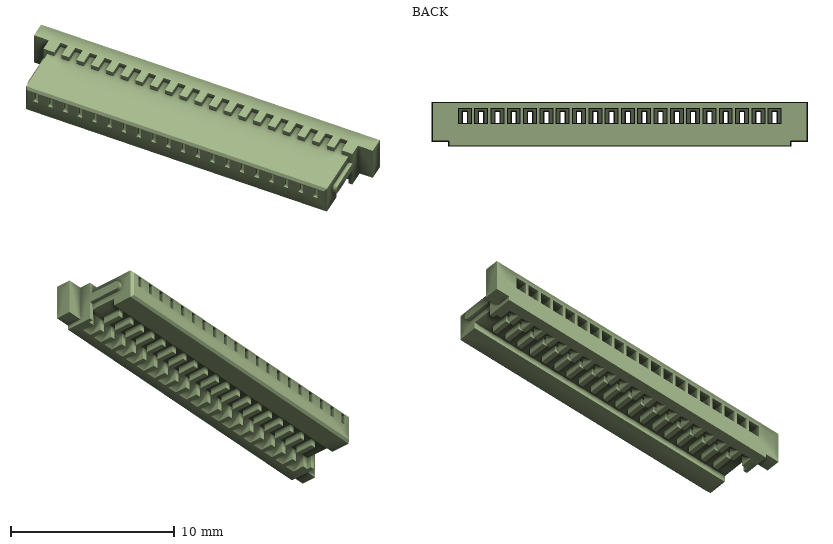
import cadquery as cq

LENGTH = 23.0
DEPTH = 5.0
HEIGHT = 2.7
CONTACTS = 20
PITCH = LENGTH / (CONTACTS + 3)

FLANGE_DEPTH = 1.8
EAR_LENGTH = 1.01
EAR_DEPTH = 1.01
EAR_BOTTOM_GAP = 0.3

BODY_SIDE_INSET = 1.29
BODY_TOP_DROP = 0.35
BODY_BOTTOM_RISE = 0.35
NOSE_BEVEL = 0.15

NOTCH_WIDTH = 0.5
NOTCH_DEPTH = 0.9

RAIL_HEIGHT = 0.6
RAIL_TOP_DROP = 0.85
RAIL_TIP = 4.15

GROOVE_HEIGHT = 0.48
GROOVE_END = 3.52
RIB_END = 3.01
RIB_WIDTH = 0.32

STEP_DEPTH = 0.3

WALL_BETWEEN = 0.2
ROOF = 0.05
SLOT_TOP_DROP = 0.2
FRONT_WALL = 0.35
SLOT_WIDTH = 0.3
SLOT_HEIGHT = 0.74

FLANGE_FRONT = DEPTH - FLANGE_DEPTH
MIDDLE_LENGTH = LENGTH - 2 * EAR_LENGTH
BODY_LENGTH = LENGTH - 2 * BODY_SIDE_INSET
BODY_TOP = HEIGHT - BODY_TOP_DROP
GROOVE_TOP = BODY_BOTTOM_RISE + GROOVE_HEIGHT
CAVITY_TOP = BODY_TOP - ROOF
CAVITY_WIDTH = PITCH - WALL_BETWEEN
SLOT_TOP = BODY_TOP - SLOT_TOP_DROP
RAMP_WIDTH = PITCH - RIB_WIDTH
CAVITY_FLOOR = SLOT_TOP - SLOT_HEIGHT
CONTACT_X = [(i - (CONTACTS - 1) / 2) * PITCH for i in range(CONTACTS)]
RIB_X = [x + PITCH / 2 for x in CONTACT_X[:-1]]


def block(width, y_front, y_rear, z_low, z_high):
    """Box centred in X, given by its front and rear Y and its low and high Z."""
    box = cq.Workplane("XY").box(width, y_rear - y_front, z_high - z_low, centered=(True, False, False))
    return box.translate((0, y_front, z_low))


def repeat(feature, positions):
    """Copies of a feature at the given X positions."""
    copies = [feature.val().translate(cq.Vector(x, 0, 0)) for x in positions]
    return cq.Workplane("XY").newObject([cq.Compound.makeCompound(copies)])


def flange():
    middle = block(MIDDLE_LENGTH, FLANGE_FRONT, DEPTH, 0, HEIGHT)
    ears = block(LENGTH, DEPTH - EAR_DEPTH, DEPTH, EAR_BOTTOM_GAP, HEIGHT)
    notch = block(NOTCH_WIDTH, FLANGE_FRONT, FLANGE_FRONT + NOTCH_DEPTH, BODY_TOP, HEIGHT)
    return middle.union(ears).cut(repeat(notch, CONTACT_X))


def body():
    shape = block(BODY_LENGTH, 0, FLANGE_FRONT, BODY_BOTTOM_RISE, BODY_TOP)
    return shape.faces("<Y").chamfer(NOSE_BEVEL)


def rails():
    radius = RAIL_HEIGHT / 2
    z_middle = HEIGHT - RAIL_TOP_DROP - radius
    y_centre = DEPTH - RAIL_TIP + radius
    bar = block(MIDDLE_LENGTH, y_centre, FLANGE_FRONT, z_middle - radius, z_middle + radius)
    tip = cq.Workplane("YZ").center(y_centre, z_middle).circle(radius).extrude(MIDDLE_LENGTH / 2, both=True)
    return bar.union(tip)


def groove():
    y_front = DEPTH - GROOVE_END
    y_ribs = DEPTH - RIB_END
    open_gap = block(BODY_LENGTH, y_front, y_ribs, BODY_BOTTOM_RISE, GROOVE_TOP)
    ribbed = block(BODY_LENGTH, y_ribs, FLANGE_FRONT, BODY_BOTTOM_RISE, GROOVE_TOP)
    rib = block(RIB_WIDTH, y_ribs, FLANGE_FRONT, BODY_BOTTOM_RISE, GROOVE_TOP)
    return open_gap.union(ribbed.cut(repeat(rib, RIB_X)))


def flange_relief():
    """Stepped underside of the flange with a sloped lead-in at every contact."""
    y_step = FLANGE_FRONT + STEP_DEPTH
    step = block(BODY_LENGTH, FLANGE_FRONT, y_step, 0, GROOVE_TOP)
    outline = [(y_step, 0), (y_step + GROOVE_TOP, 0), (y_step, GROOVE_TOP)]
    ramp = cq.Workplane("YZ").polyline(outline).close().extrude(RAMP_WIDTH / 2, both=True)
    return step.union(repeat(ramp, CONTACT_X))


def contact_cavities():
    cavity = block(CAVITY_WIDTH, FRONT_WALL, DEPTH, CAVITY_FLOOR, CAVITY_TOP)
    slot = block(SLOT_WIDTH, 0, FRONT_WALL, CAVITY_FLOOR, SLOT_TOP)
    return repeat(cavity.union(slot), CONTACT_X)


result = flange().union(body()).union(rails())
result = result.cut(groove()).cut(flange_relief()).cut(contact_cavities())